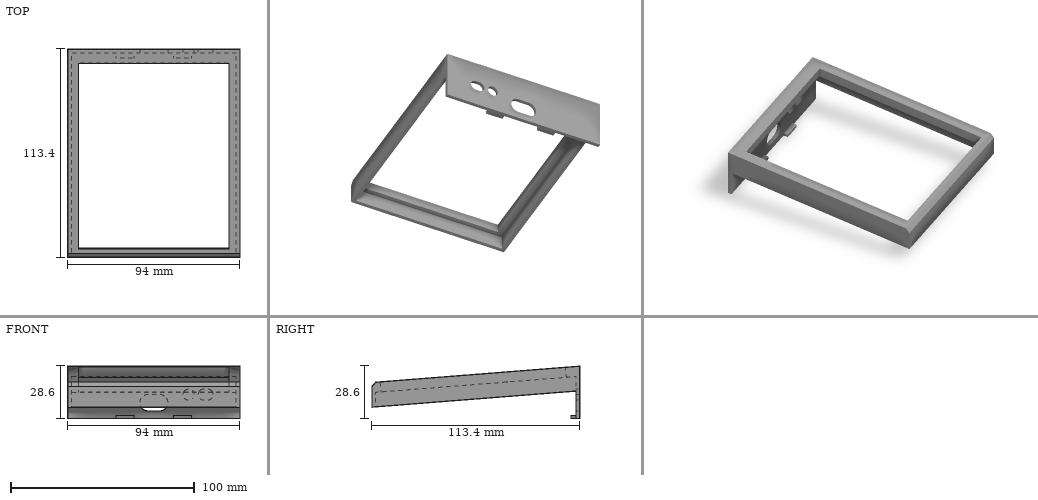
import cadquery as cq
import math

width = 94.0
depth = 113.4
height = 28.6
wall = 2.2

slope_angle = 4.5
slope = math.tan(math.radians(slope_angle))
front_bottom = 6.1
frame_height = height - slope * depth - front_bottom
chamfer_depth = 2.2
chamfer_height = 2.4

window_width = 81.8
window_front = 4.5
window_back = 105.5
bezel_height = 5.5
bezel_lean = bezel_height * slope

slot_length = 15.3
slot_height = 9.0
slot_z = 8.6
small_port_diameter = 6.0
small_port_z = 13.0
round_port_x = 18.9
oval_port_x = 28.2
oval_port_length = 8.2

tab_width = 9.9
tab_depth = 2.7
tab_height = 1.7
tab_offset = 15.6

wall_face = depth - wall


def top_z(y):
    """Height of the sloped top surface at depth y."""
    return height - slope * (depth - y)


def bottom_z(y):
    """Height of the sloped underside at depth y."""
    return top_z(y) - frame_height


def extrude_across(points, length):
    """Extrude a (Y, Z) outline along X, centred on X = 0."""
    return cq.Workplane("YZ").polyline(points).close().extrude(length / 2, both=True)


def make_body():
    """Sloped frame and back wall with a chamfered front top edge."""
    return extrude_across(
        [
            (0, front_bottom),
            (wall_face, bottom_z(wall_face)),
            (wall_face, 0),
            (depth, 0),
            (depth, height),
            (chamfer_depth, top_z(chamfer_depth)),
            (0, top_z(chamfer_depth) - chamfer_height),
        ],
        width,
    )


def make_pocket():
    """Hollow below the bezel, leaving thin walls all round."""
    return extrude_across(
        [
            (wall, 0),
            (wall_face, 0),
            (wall_face, top_z(wall_face) - bezel_height),
            (wall, top_z(wall) - bezel_height),
        ],
        width - 2 * wall,
    )


def make_window():
    """Opening whose ends are square to the sloped top."""
    return extrude_across(
        [
            (window_front, top_z(window_front)),
            (window_front, height),
            (window_back, height),
            (window_back, top_z(window_back)),
            (window_back + bezel_lean, top_z(window_back) - bezel_height),
            (window_back + bezel_lean, 0),
            (window_front + bezel_lean, 0),
            (window_front + bezel_lean, top_z(window_front) - bezel_height),
        ],
        window_width,
    )


def wall_plane(x, z):
    """Sketch plane on the outer back face, centred on a port."""
    return cq.Workplane("XZ", origin=(x, depth, z))


def make_tab(x):
    """Small rectangular tab on the inside of the back wall."""
    tab = cq.Workplane("XY").box(tab_width, tab_depth, tab_height, centered=(True, False, False))
    return tab.translate((x, wall_face - tab_depth, 0))


main_slot = wall_plane(0, slot_z).slot2D(slot_length, slot_height).extrude(wall)
round_port = wall_plane(round_port_x, small_port_z).circle(small_port_diameter / 2).extrude(wall)
oval_port = wall_plane(oval_port_x, small_port_z).slot2D(oval_port_length, small_port_diameter).extrude(wall)

result = make_body().cut(make_pocket()).cut(make_window())
for port in (main_slot, round_port, oval_port):
    result = result.cut(port)
for side in (-1, 1):
    result = result.union(make_tab(side * tab_offset))